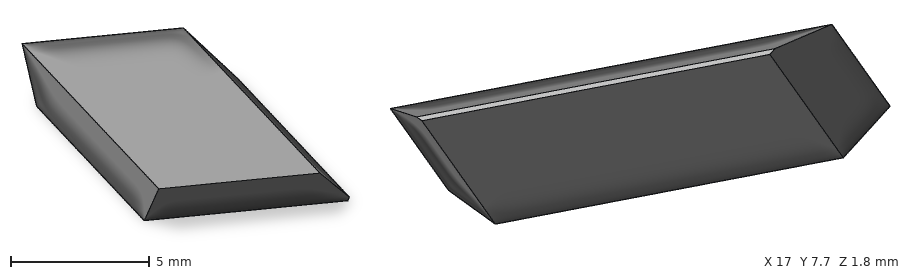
import cadquery as cq

length = 17.03
width = 7.7
height = 1.8

end_inset = height
back_land = 0.2
back_bevel = height - back_land


def end_profile_block():
    """Trapezoidal bar, widest at the top, extruded along Y."""
    half_top = length / 2
    half_bottom = half_top - end_inset
    return (
        cq.Workplane("XZ", origin=(0, width / 2, 0))
        .moveTo(-half_bottom, 0)
        .lineTo(half_bottom, 0)
        .lineTo(half_top, height)
        .lineTo(-half_top, height)
        .close()
        .extrude(width)
    )


def side_profile_block():
    """Bar with the back bevel, extruded along X."""
    front = -width / 2
    back = width / 2
    return (
        cq.Workplane("YZ", origin=(-length / 2, 0, 0))
        .moveTo(front, 0)
        .lineTo(back, 0)
        .lineTo(back, back_land)
        .lineTo(back - back_bevel, height)
        .lineTo(front, height)
        .close()
        .extrude(length)
    )


result = end_profile_block().intersect(side_profile_block())